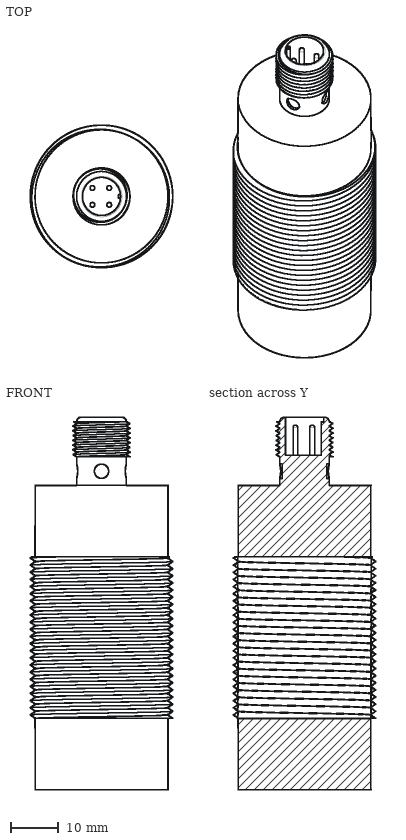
import cadquery as cq
import math


end_diameter = 28.0
end_length = 15.0
body_thread_diameter = 30.0
body_thread_length = 34.0
body_thread_pitch = 1.5
body_height = 2 * end_length + body_thread_length

total_height = 78.4
neck_diameter = 10.5
neck_length = 6.0
plug_thread_diameter = 12.0
plug_thread_root_diameter = 10.54
plug_thread_pitch = 1.0
rim_fillet = 1.0
plug_thread_base = body_height + neck_length
plug_thread_length = total_height - rim_fillet - plug_thread_base

dimple_diameter = 3.0
dimple_floor_diameter = 9.4
dimple_height = body_height + neck_length / 2

socket_diameter = 8.0
socket_depth = 8.0
pin_diameter = 1.0
pin_length = 6.3
pin_circle_radius = 2.5
pin_count = 4
pin_pattern_offset_x = -0.15
key_radius = 0.5
key_top_gap = 1.0

root_land = 0.02
root_overlap = 0.02


def cylinder(diameter, base, height):
    return cq.Workplane("XY").workplane(offset=base).circle(diameter / 2).extrude(height)


def external_thread(crest_diameter, root_diameter, pitch, base, length):
    """Right-handed V thread on a core, cut flat at both ends; its crest leaves the base at +X."""
    crest_radius = crest_diameter / 2
    inner_radius = root_diameter / 2 - root_overlap
    half_root = pitch * (1 - root_land) / 2
    path = cq.Wire.makeHelix(pitch, length + 2 * pitch, inner_radius)
    ridge = (
        cq.Workplane("XZ")
        .polyline([(inner_radius, -half_root), (crest_radius, 0), (inner_radius, half_root)])
        .close()
        .sweep(cq.Workplane(obj=path), isFrenet=True)
        .translate((0, 0, base - pitch))
    )
    ridge = ridge.intersect(cylinder(2 * crest_diameter, base, length))
    return cylinder(root_diameter, base, length).union(ridge)


def make_body():
    """Threaded barrel between two plain ends."""
    thread = external_thread(
        body_thread_diameter,
        end_diameter,
        body_thread_pitch,
        end_length,
        body_thread_length,
    )
    lower_end = cylinder(end_diameter, 0, end_length)
    upper_end = cylinder(end_diameter, end_length + body_thread_length, end_length)
    return thread.union(lower_end).union(upper_end)


def make_connector():
    """Plug stem with a rounded rim and its own thread."""
    stem = cylinder(neck_diameter, body_height, total_height - body_height)
    stem = stem.faces(">Z").edges().fillet(rim_fillet)
    thread = external_thread(
        plug_thread_diameter,
        plug_thread_root_diameter,
        plug_thread_pitch,
        plug_thread_base,
        plug_thread_length,
    )
    return stem.union(thread)


def make_dimples():
    """Round dimples whose floors follow a cylinder concentric with the neck."""
    drills = cq.Workplane("XY")
    for plane in ("XZ", "YZ"):
        drill = (
            cq.Workplane(plane)
            .center(0, dimple_height)
            .circle(dimple_diameter / 2)
            .extrude(neck_diameter, both=True)
        )
        drills = drills.add(drill)
    core = cylinder(dimple_floor_diameter, body_height, neck_length)
    return drills.combine().cut(core)


def make_pin(x, y, base):
    """Contact pin with a hemispherical tip."""
    pin_radius = pin_diameter / 2
    shank_length = pin_length - pin_radius
    tip = cq.Workplane("XY").sphere(pin_radius).translate((0, 0, base + shank_length))
    return cylinder(pin_diameter, base, shank_length).union(tip).translate((x, y, 0))


def make_socket():
    """Socket cavity, leaving the coding key and the pins standing."""
    socket_floor = total_height - socket_depth
    key_height = socket_depth - key_top_gap
    socket = cylinder(socket_diameter, socket_floor, socket_depth)
    key = cylinder(2 * key_radius, socket_floor, key_height).translate((socket_diameter / 2, 0, 0))
    socket = socket.cut(key)
    for index in range(pin_count):
        angle = 2 * math.pi * (index + 0.5) / pin_count
        x = pin_pattern_offset_x + pin_circle_radius * math.cos(angle)
        y = pin_circle_radius * math.sin(angle)
        socket = socket.cut(make_pin(x, y, socket_floor))
    return socket


result = make_body().union(make_connector()).cut(make_dimples()).cut(make_socket())